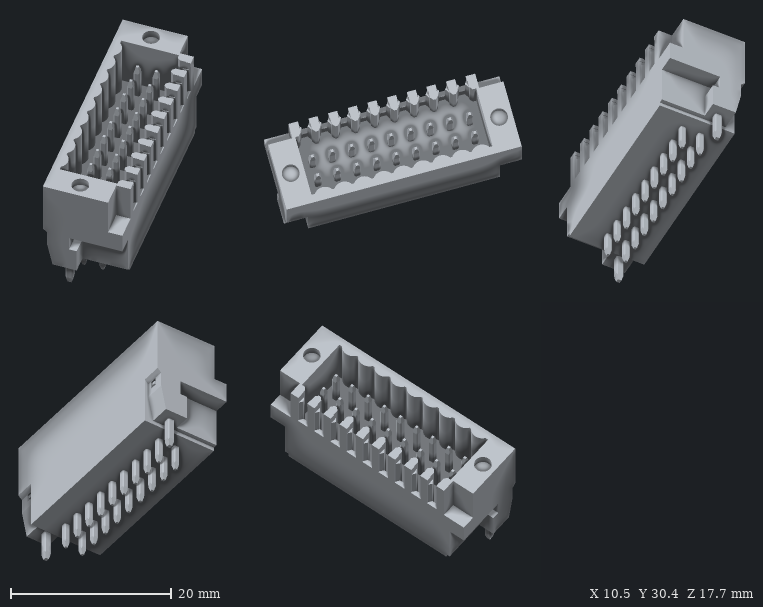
import cadquery as cq

WIDTH = 10.5
LENGTH = 30.42
HEIGHT = 14.2
HALF_LENGTH = LENGTH / 2

PIN_COUNT = 9
PIN_SPAN = 20.32
PITCH = PIN_SPAN / (PIN_COUNT - 1)
PIN_ROWS_X = (3.7, 6.2)
PIN_SIZE = 0.82
PIN_TIP_SIZE = 0.33
PIN_CHAMFER = 0.15
TAPER_LENGTH = 1.0
PIN_TOP = 12.02
PIN_BOTTOM = -3.5

LEG_X = 3.0
LEG_SIZE = 0.97
LEG_TIP_SIZE = 0.5
END_INSET = 1.73
SOCKET_Z = 5.55
SOCKET_SIZE = 1.05
SOCKET_TIP_SIZE = 0.43

CAVITY_X = 1.0
CAVITY_END_X = 8.65
CAVITY_LENGTH = 23.42
CAVITY_FLOOR = 7.1
SCALLOP_DEPTH = 0.58
SCALLOP_GAP = 0.27

FINGER_NOSE_HALF = 0.167
FINGER_HALF = 0.52
FINGER_SHOULDER_X = 9.03
PANEL_X = 9.83
PANEL_TOP = 9.13
HEAD_HALF = 0.58
HEAD_HEIGHT = 0.65
RIB_START_X = 9.28
RIB_END_X = 10.3
RIB_HALF = 0.88
RIB_DROP = 1.25
RIB_TOP = HEIGHT - RIB_DROP

TOP_NOTCH_X = 8.6
TOP_NOTCH_Z = 8.88
TOP_NOTCH_LENGTH = 3.13
FOOT_LENGTH = 2.8
FOOT_Z = 0.55
FOOT_RELIEF_X = 0.55
FOOT_TAPER_Z = 4.02
FOOT_TIP_X = 1.28
RELIEF_TOP_Z = 6.6
RELIEF_CHAMFER_Z = 6.1
SIDE_POCKET_DEPTH = 2.22
SIDE_POCKET_X = 3.47
SIDE_POCKET_TOP = 6.05
SIDE_POCKET_STEP_X = 4.47
SIDE_POCKET_STEP_Z = 4.02
SCREW_HOLE_X = 4.35
SCREW_HOLE_DIAMETER = 2.22
SCREW_HOLE_DEPTH = 1.1

pin_ys = [(i - (PIN_COUNT - 1) / 2) * PITCH for i in range(PIN_COUNT)]
finger_ys = [(i - PIN_COUNT / 2) * PITCH for i in range(PIN_COUNT + 1)]


def block(x0, x1, y0, y1, z0, z1):
    """Box between opposite corners."""
    return cq.Workplane("XY").box(x1 - x0, y1 - y0, z1 - z0, centered=False).translate((x0, y0, z0))


def end_prism(points, depth):
    """XZ outline extruded inwards from the -Y end."""
    return cq.Workplane("XZ", origin=(0, -HALF_LENGTH, 0)).polyline(points).close().extrude(-depth)


def plan_prism(points, z0, z1):
    """XY outline extruded between two heights."""
    return cq.Workplane("XY", origin=(0, 0, z0)).polyline(points).close().extrude(z1 - z0)


def taper(size, tip_size):
    """Square frustum narrowing upwards from Z = 0."""
    return cq.Workplane("XY").rect(size, size).workplane(offset=TAPER_LENGTH).rect(tip_size, tip_size).loft()


def pin(size, tip_size, bottom, top, pointed_top):
    """Square pin with chamfered long edges, a pyramid tip below and optionally one on top."""
    shaft_top = top - TAPER_LENGTH if pointed_top else top
    shaft_bottom = bottom + TAPER_LENGTH
    half = size / 2
    body = block(-half, half, -half, half, shaft_bottom, shaft_top)
    tip = taper(size, tip_size)
    body = body.union(tip.mirror("XY").translate((0, 0, shaft_bottom)))
    if pointed_top:
        body = body.union(tip.translate((0, 0, shaft_top)))
    envelope = block(-half, half, -half, half, bottom, top).edges("|Z").chamfer(PIN_CHAMFER)
    return body.intersect(envelope)


def end_cutouts():
    """Everything removed from the block at the -Y end."""
    notch = block(TOP_NOTCH_X, WIDTH, -HALF_LENGTH, TOP_NOTCH_LENGTH - HALF_LENGTH, TOP_NOTCH_Z, HEIGHT)
    foot_relief = end_prism(
        [
            (0, 0),
            (0, RELIEF_TOP_Z),
            (FOOT_RELIEF_X, RELIEF_CHAMFER_Z),
            (FOOT_RELIEF_X, FOOT_TAPER_Z),
            (FOOT_TIP_X, FOOT_Z),
            (WIDTH, FOOT_Z),
            (WIDTH, 0),
        ],
        FOOT_LENGTH,
    )
    side_pocket = end_prism(
        [
            (SIDE_POCKET_STEP_X, FOOT_Z),
            (SIDE_POCKET_STEP_X, SIDE_POCKET_STEP_Z),
            (SIDE_POCKET_X, SIDE_POCKET_STEP_Z),
            (SIDE_POCKET_X, SIDE_POCKET_TOP),
            (WIDTH, SIDE_POCKET_TOP),
            (WIDTH, FOOT_Z),
        ],
        SIDE_POCKET_DEPTH,
    )
    hole = (
        cq.Workplane("XY", origin=(SCREW_HOLE_X, END_INSET - HALF_LENGTH, HEIGHT))
        .circle(SCREW_HOLE_DIAMETER / 2)
        .extrude(-SCREW_HOLE_DEPTH)
    )
    return notch.union(foot_relief).union(side_pocket).union(hole)


def scallop(y):
    """Rounded bulge of the closed side wall facing a pin."""
    half = (PITCH - SCALLOP_GAP) / 2
    return (
        cq.Workplane("XY", origin=(0, y, CAVITY_FLOOR))
        .moveTo(CAVITY_X, -half)
        .threePointArc((CAVITY_X + SCALLOP_DEPTH, 0), (CAVITY_X, half))
        .close()
        .extrude(HEIGHT - CAVITY_FLOOR)
    )


def finger():
    """Pointed finger with a wider outer head and a triangular rib on each flank."""
    nose = [
        (CAVITY_END_X, FINGER_NOSE_HALF),
        (FINGER_SHOULDER_X, FINGER_HALF),
        (WIDTH, FINGER_HALF),
        (WIDTH, -FINGER_HALF),
        (FINGER_SHOULDER_X, -FINGER_HALF),
        (CAVITY_END_X, -FINGER_NOSE_HALF),
    ]
    ribs = [
        (RIB_START_X, FINGER_HALF),
        (PANEL_X, RIB_HALF),
        (RIB_END_X, FINGER_HALF),
        (RIB_END_X, -FINGER_HALF),
        (PANEL_X, -RIB_HALF),
        (RIB_START_X, -FINGER_HALF),
    ]
    head = block(PANEL_X, WIDTH, -HEAD_HALF, HEAD_HALF, HEIGHT - HEAD_HEIGHT, HEIGHT)
    body = plan_prism(nose, CAVITY_FLOOR, HEIGHT)
    return body.union(plan_prism(ribs, CAVITY_FLOOR, RIB_TOP)).union(head)


housing = block(0, WIDTH, -HALF_LENGTH, HALF_LENGTH, 0, HEIGHT)
cutouts = end_cutouts()
housing = housing.cut(cutouts).cut(cutouts.mirror("XZ"))

cavity_half = CAVITY_LENGTH / 2
slots_half = finger_ys[-1]
housing = housing.cut(block(CAVITY_X, CAVITY_END_X, -cavity_half, cavity_half, CAVITY_FLOOR, HEIGHT))
housing = housing.cut(block(CAVITY_END_X, PANEL_X, -slots_half, slots_half, CAVITY_FLOOR, HEIGHT))
housing = housing.cut(block(PANEL_X, WIDTH, -slots_half, slots_half, PANEL_TOP, HEIGHT))

for y in pin_ys:
    housing = housing.union(scallop(y))

finger_shape = finger()
finger_zone_half = HALF_LENGTH - TOP_NOTCH_LENGTH
finger_zone = block(0, WIDTH, -finger_zone_half, finger_zone_half, 0, HEIGHT)
for y in finger_ys:
    housing = housing.union(finger_shape.translate((0, y, 0)).intersect(finger_zone))

contact = pin(PIN_SIZE, PIN_TIP_SIZE, PIN_BOTTOM, PIN_TOP, True)
for x in PIN_ROWS_X:
    for y in pin_ys:
        housing = housing.union(contact.translate((x, y, 0)))

leg = pin(LEG_SIZE, LEG_TIP_SIZE, PIN_BOTTOM, SOCKET_Z, False).translate((LEG_X, 0, 0))
half_socket = SOCKET_SIZE / 2
socket = block(
    FOOT_RELIEF_X,
    FOOT_RELIEF_X + TAPER_LENGTH,
    -half_socket,
    half_socket,
    SOCKET_Z - half_socket,
    SOCKET_Z + half_socket,
)
socket_tip = (
    taper(SOCKET_SIZE, SOCKET_TIP_SIZE)
    .rotate((0, 0, 0), (0, 1, 0), -90)
    .translate((FOOT_RELIEF_X + TAPER_LENGTH, 0, SOCKET_Z))
)
socket = socket.cut(socket_tip)
for y in (END_INSET - HALF_LENGTH, HALF_LENGTH - END_INSET):
    housing = housing.union(leg.translate((0, y, 0))).cut(socket.translate((0, y, 0)))

result = housing